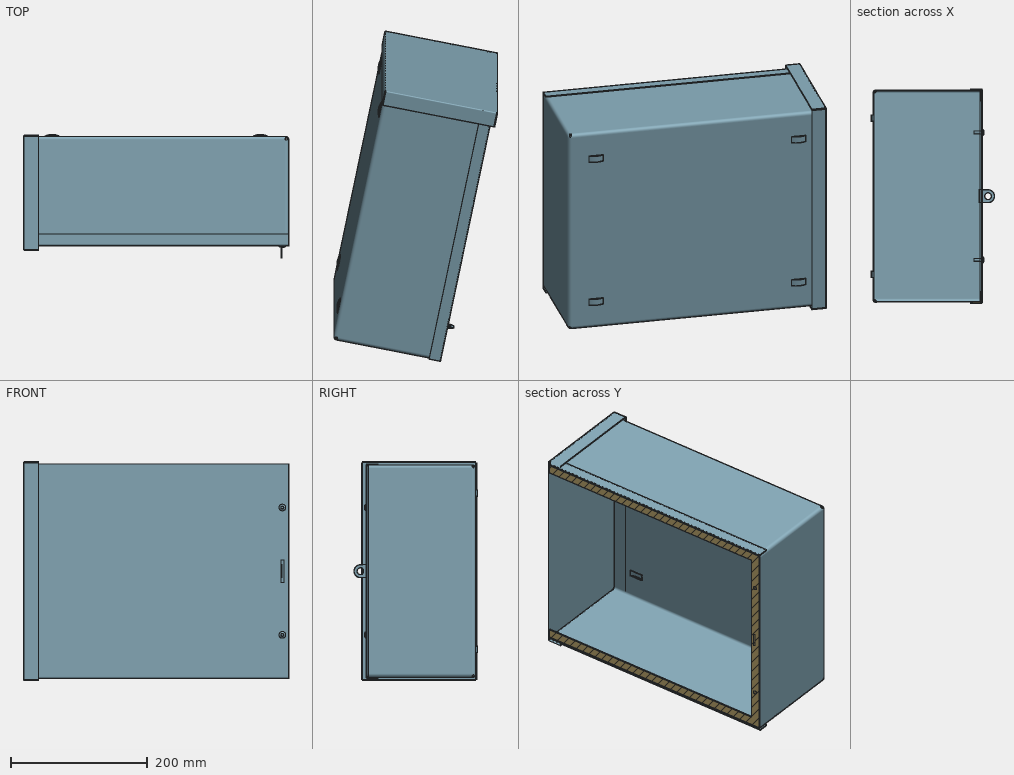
import cadquery as cq
import math

SHEET = 1.5875
BEND_RADIUS = 2.4
INNER_BEND_RADIUS = BEND_RADIUS - SHEET

LENGTH = 388.12
OVERALL_DEPTH = 180.96
CAP_HEIGHT = 320.68
COVER_HEIGHT = 314.33
BOX_HEIGHT = COVER_HEIGHT - 2 * SHEET
COVER_FRONT_Y = -160.34
LIP_FRONT_Y = COVER_FRONT_Y + SHEET
LIP_BACK_Y = LIP_FRONT_Y + SHEET

BOX_BEND_RADIUS = 5.2
LIP_WIDTH = 15.9
CORNER_RELIEF_DIAMETER = 3.17
CORNER_RELIEF_INSET = 3.8

FOOT_RADIUS = 44.45 / 2
FOOT_RISE = 2.8
FOOT_WIDTH = 9.53
FOOT_SPACING_X = 304.8
FOOT_SPACING_Z = 228.6

CAP_DEPTH = 168.6
CAP_WIDTH = 21.8
CAP_BEND_RADIUS = 1.65
CAP_BACK_Y = SHEET
CAP_CENTRE_Y = CAP_BACK_Y - CAP_DEPTH / 2

COVER_FLANGE = 17.3

SCREW_X = LENGTH - 9.53
SCREW_Z = 93.2
HEAD_DIAMETER = 9.75
HEAD_HEIGHT = 2.6
HEAD_RIM = 0.5
SHANK_DIAMETER = 4.17
SHANK_LENGTH = 12.0
RECESS_DIAMETER = 3.76
RECESS_DEPTH = 1.2

SLOT_X = SCREW_X
SLOT_WIDTH = 4.19
SLOT_LENGTH = 33.4
HASP_THICKNESS = SHEET
HASP_BACK_X = SLOT_X - SLOT_WIDTH / 2
HASP_FRONT_X = HASP_BACK_X + HASP_THICKNESS
HASP_TIP_Y = FOOT_RISE - OVERALL_DEPTH
HASP_RADIUS = 9.53
HASP_HOLE_DIAMETER = 9.53
HASP_FOOT_LENGTH = 8.0


def block(x_range, y_range, height):
    """Rectangular block between two X and two Y limits, centred on Z = 0."""
    x0, x1 = min(x_range), max(x_range)
    y0, y1 = min(y_range), max(y_range)
    return cq.Workplane("XY").box(x1 - x0, y1 - y0, height).translate(((x0 + x1) / 2, (y0 + y1) / 2, 0))


def y_cylinder(diameter, x, z, y_start, y_end):
    """Cylinder along Y between two Y positions."""
    length = y_start - y_end
    return cq.Workplane("XZ", origin=(x, y_start, z)).circle(diameter / 2).extrude(length)


def screw_holes():
    """Clearance for both screw shanks through the cover and the box lip."""
    holes = cq.Workplane("XY")
    for z in (-SCREW_Z, SCREW_Z):
        holes = holes.add(y_cylinder(SHANK_DIAMETER, SCREW_X, z, LIP_BACK_Y, COVER_FRONT_Y))
    return holes.combine()


def make_box():
    """Tray with back, two side walls, a +X end wall and a lip around the front opening."""
    outer = block((CAP_BEND_RADIUS, LENGTH), (0, LIP_FRONT_Y), BOX_HEIGHT)
    folded_edges = "(|X and >Y) or (|Z and >(1,1,0)) or (|Y and >X)"
    outer = outer.edges(folded_edges).fillet(BOX_BEND_RADIUS)
    outer = outer.edges("|X and <Y").fillet(BEND_RADIUS)

    inner = block((CAP_BEND_RADIUS, LENGTH - SHEET), (-SHEET, LIP_BACK_Y), BOX_HEIGHT - 2 * SHEET)
    inner = inner.edges(folded_edges).fillet(BOX_BEND_RADIUS - SHEET)
    opening = block((CAP_BEND_RADIUS, LENGTH - LIP_WIDTH), (LIP_BACK_Y, LIP_FRONT_Y), BOX_HEIGHT - 2 * LIP_WIDTH)
    box = outer.cut(inner).cut(opening)

    foot_axis_y = FOOT_RISE - FOOT_RADIUS
    for x in (LENGTH / 2 - FOOT_SPACING_X / 2, LENGTH / 2 + FOOT_SPACING_X / 2):
        for z in (-FOOT_SPACING_Z / 2, FOOT_SPACING_Z / 2):
            start = cq.Workplane("XY", origin=(x, foot_axis_y, z))
            foot_zone = cq.Workplane("XY", origin=(x, FOOT_RADIUS - SHEET, z)).box(
                2 * FOOT_RADIUS, 2 * FOOT_RADIUS, FOOT_WIDTH)
            arch = start.circle(FOOT_RADIUS).extrude(FOOT_WIDTH / 2, both=True).intersect(foot_zone)
            hollow = start.circle(FOOT_RADIUS - SHEET).extrude(FOOT_WIDTH / 2, both=True)
            box = box.union(arch).cut(hollow.intersect(foot_zone))

    for z_side in (-1, 1):
        centre = (LENGTH - CORNER_RELIEF_INSET, -CORNER_RELIEF_INSET, z_side * BOX_HEIGHT / 2)
        relief = cq.Workplane("XY", origin=centre).circle(CORNER_RELIEF_DIAMETER / 2)
        box = box.cut(relief.extrude(-z_side * 2 * BOX_BEND_RADIUS))
    hasp_opening = block((HASP_BACK_X, HASP_FRONT_X), (LIP_BACK_Y, LIP_FRONT_Y), 2 * HASP_RADIUS)
    return box.cut(hasp_opening).cut(screw_holes())


def make_cap():
    """End plate with four bent flanges; the corners between flanges are open."""
    def slab(depth, height, bend_edges):
        body = cq.Workplane("XY").box(CAP_WIDTH, depth, height)
        return body.edges(bend_edges).fillet(CAP_BEND_RADIUS)

    side_flanges = slab(CAP_DEPTH - 2 * CAP_BEND_RADIUS, CAP_HEIGHT, "|Y and <X")
    front_back_flanges = slab(CAP_DEPTH, CAP_HEIGHT - 2 * CAP_BEND_RADIUS, "|Z and <X")
    cavity = cq.Workplane("XY").box(CAP_WIDTH, CAP_DEPTH - 2 * SHEET, CAP_HEIGHT - 2 * SHEET)
    cavity = cavity.edges("<X").fillet(CAP_BEND_RADIUS - SHEET).translate((SHEET, 0, 0))
    cap = side_flanges.union(front_back_flanges).cut(cavity)
    return cap.translate((CAP_WIDTH / 2, CAP_CENTRE_Y, 0))


def make_cover():
    """Front panel with a flange along each Z edge, screw holes and the hasp slot."""
    flange_back_y = COVER_FRONT_Y + COVER_FLANGE
    outer = block((SHEET, LENGTH), (COVER_FRONT_Y, flange_back_y), COVER_HEIGHT)
    outer = outer.edges("|X and <Y").fillet(BEND_RADIUS)
    inner = block((SHEET, LENGTH), (LIP_FRONT_Y, flange_back_y), BOX_HEIGHT)
    inner = inner.edges("|X and <Y").fillet(INNER_BEND_RADIUS)
    slot = block((HASP_BACK_X, HASP_BACK_X + SLOT_WIDTH), (COVER_FRONT_Y, LIP_FRONT_Y), SLOT_LENGTH)
    return outer.cut(inner).cut(slot).cut(screw_holes())


def make_hasp():
    """Padlock eye on a flat tongue, with a foot against the inside of the box lip."""
    eye_y = HASP_TIP_Y + HASP_RADIUS
    foot_back_y = LIP_BACK_Y + HASP_THICKNESS
    start = cq.Workplane("YZ", origin=(HASP_BACK_X, eye_y, 0))
    eye = start.circle(HASP_RADIUS).extrude(HASP_THICKNESS)
    tongue = block((HASP_BACK_X, HASP_FRONT_X), (eye_y, foot_back_y), 2 * HASP_RADIUS)
    foot = block((HASP_BACK_X, HASP_BACK_X + HASP_FOOT_LENGTH), (LIP_BACK_Y, foot_back_y), 2 * HASP_RADIUS)
    hole = start.circle(HASP_HOLE_DIAMETER / 2).extrude(HASP_THICKNESS)
    return eye.union(tongue).union(foot).cut(hole)


def make_screw(z):
    """Domed screw with a round drive recess, seated on the cover."""
    radius = HEAD_DIAMETER / 2
    dome_rise = HEAD_HEIGHT - HEAD_RIM
    dome_radius = (radius**2 + dome_rise**2) / (2 * dome_rise)
    half_way = radius / 2
    half_way_height = HEAD_HEIGHT - dome_radius + math.sqrt(dome_radius**2 - half_way**2)
    head = (
        cq.Workplane("XY")
        .lineTo(radius, 0)
        .lineTo(radius, -HEAD_RIM)
        .threePointArc((half_way, -half_way_height), (0, -HEAD_HEIGHT))
        .close()
        .revolve(360, (0, 0, 0), (0, 1, 0))
        .translate((SCREW_X, COVER_FRONT_Y, z))
    )
    shank = y_cylinder(SHANK_DIAMETER, SCREW_X, z, COVER_FRONT_Y + SHANK_LENGTH, COVER_FRONT_Y)
    recess_floor_y = COVER_FRONT_Y - HEAD_HEIGHT + RECESS_DEPTH
    recess = cq.Workplane("XZ", origin=(SCREW_X, recess_floor_y, z)).circle(RECESS_DIAMETER / 2)
    return head.union(shank).cut(recess.extrude(HEAD_HEIGHT))


box = make_box()
cap = make_cap()
cover = make_cover()
hasp = make_hasp()
screws = [make_screw(z) for z in (-SCREW_Z, SCREW_Z)]

result = cq.Compound.makeCompound(
    [box.val(), cap.val(), cover.val(), hasp.val(), *[screw.val() for screw in screws]]
)